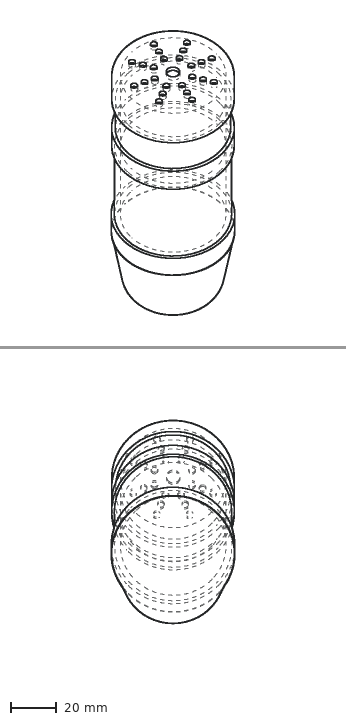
import cadquery as cq
import math

total_height = 135.5
cap_bottom = 118.7
neck_bottom = 100.8
collar_bottom = 89.4
band_top = 46.2
band_bottom = 35.5

cap_diameter = 53.9
neck_diameter = 50.7
barrel_diameter = 51.5
band_diameter = 54.3
nose_top_diameter = 53.9
nose_bottom_diameter = 42.5

bore_diameter = 46.3

nose_edge_radius = 10.0

cap_edge_radius = 3.0
center_hole_diameter = 6.0
cap_plate_thickness = 2.0
small_hole_diameter = 3.0
spoke_count = 8
spoke_hole_radii = (9.0, 14.0, 19.0)


def cylinder(diameter, bottom, top):
    """Solid cylinder on the Z axis between two heights."""
    return cq.Workplane("XY").workplane(offset=bottom).circle(diameter / 2).extrude(top - bottom)


def make_cap():
    """Hollow round-edged cap with a thin top plate, pierced by a central hole and spokes of small holes."""
    cap = cylinder(cap_diameter, cap_bottom, total_height)
    cap = cap.faces(">Z").edges().fillet(cap_edge_radius)
    plate_bottom = total_height - cap_plate_thickness
    cap = cap.cut(cylinder(bore_diameter, cap_bottom, plate_bottom))
    cap = cap.cut(cylinder(center_hole_diameter, plate_bottom, total_height))
    spoke_hole = cylinder(small_hole_diameter, plate_bottom, total_height)
    for spoke in range(spoke_count):
        angle = 2 * math.pi * spoke / spoke_count
        for radius in spoke_hole_radii:
            position = (radius * math.cos(angle), radius * math.sin(angle), 0)
            cap = cap.cut(spoke_hole.translate(position))
    return cap


def make_collar():
    """Open tube with a narrow neck standing on a wider ring."""
    ring = cylinder(cap_diameter, collar_bottom, neck_bottom)
    neck = cylinder(neck_diameter, neck_bottom, cap_bottom)
    return ring.union(neck).cut(cylinder(bore_diameter, collar_bottom, cap_bottom))


def make_barrel():
    """Plain tube between the collar and the nose."""
    barrel = cylinder(barrel_diameter, band_top, collar_bottom)
    return barrel.cut(cylinder(bore_diameter, band_top, collar_bottom))


def make_nose():
    """Solid nose: a straight band above a taper with a rounded bottom edge; it closes the bore."""
    profile = (
        cq.Workplane("XZ")
        .lineTo(0, band_top)
        .lineTo(band_diameter / 2, band_top)
        .lineTo(band_diameter / 2, band_bottom)
        .lineTo(nose_top_diameter / 2, band_bottom)
        .lineTo(nose_bottom_diameter / 2, 0)
        .close()
    )
    nose = profile.revolve(360, (0, 0, 0), (0, 1, 0))
    return nose.faces("<Z").edges().fillet(nose_edge_radius)


cap = make_cap()
collar = make_collar()
barrel = make_barrel()
nose = make_nose()

result = cq.Compound.makeCompound([cap.val(), collar.val(), barrel.val(), nose.val()])